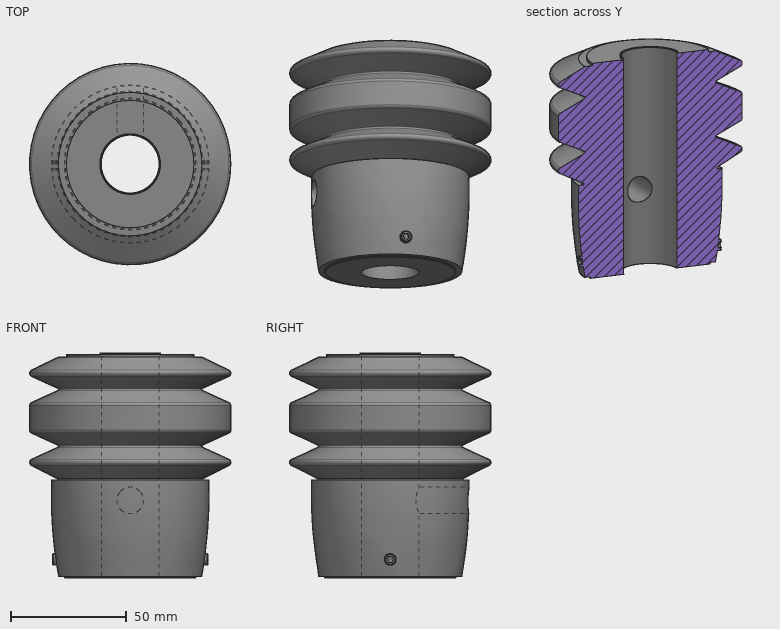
import cadquery as cq
import math

fin_radius = 43.5
total_height = 97.25
bore_radius = 12.5

rim_radius = 13.1
rim_height = 0.7
rim_chamfer = 0.3
disc_radius = 27.5
disc_height = 1.05
disc_top = total_height - rim_height
fins_top = disc_top - disc_height

fin_root_radius = 31.0
fin_height = 14.0
band_height = 10.5
fin_slope = math.radians(25)
fin_edge_round = 1.5
valley_round = 0.5

neck_height = 0.5
neck_radius = 31.5
body_top_radius = 34.0
body_middle_radius = 33.55
body_bottom_radius = 30.9
foot_radius = 28.5
foot_height = 0.7
foot_chamfer = 0.4

screw_radius = 2.5
screw_reach = 33.6
screw_height = 8.1
screw_seat = 25.0
screw_chamfer = 0.4
socket_across_flats = 2.5
socket_depth = 1.5

port_radius = 11.45 / 2
port_height = 33.6

fins_height = 3 * fin_height + band_height
fins_bottom = fins_top - fins_height
upper_valley = fins_top - fin_height
lower_valley = fins_bottom + fin_height
body_top = fins_bottom - neck_height


def revolve_profile(profile):
    """Turn a closed radius-height profile about the Z axis."""
    return profile.close().revolve(360, (0, 0, 0), (0, 1, 0))


def add_fin(profile, top, rim_band):
    """Continue the profile from the fin's top root down to the end of its lower cone.

    A thin fin has one round tangent to both cones; a fin with a straight band
    of height rim_band has a round at each end of the band.
    """
    middle = top - (fin_height + rim_band) / 2
    upper = middle + rim_band / 2
    lower = middle - rim_band / 2
    round_center = fin_radius - fin_edge_round
    tangent_radius = round_center + fin_edge_round * math.sin(fin_slope)
    tangent_drop = fin_edge_round * math.cos(fin_slope)
    lower_end = (tangent_radius, lower - tangent_drop)
    profile = profile.lineTo(tangent_radius, upper + tangent_drop)
    if rim_band == 0:
        return profile.threePointArc((fin_radius, middle), lower_end)
    mid_angle = (fin_slope + math.pi / 2) / 2
    mid_radius = round_center + fin_edge_round * math.sin(mid_angle)
    mid_drop = fin_edge_round * math.cos(mid_angle)
    profile = profile.threePointArc((mid_radius, upper + mid_drop), (fin_radius, upper))
    profile = profile.lineTo(fin_radius, lower)
    return profile.threePointArc((mid_radius, lower - mid_drop), lower_end)


def add_valley(profile, height):
    """Continue the profile through the rounded valley between two fins."""
    half_opening = valley_round * math.cos(fin_slope)
    edge_radius = fin_root_radius + valley_round * (1 - math.sin(fin_slope))
    profile = profile.lineTo(edge_radius, height + half_opening)
    return profile.threePointArc((fin_root_radius, height), (edge_radius, height - half_opening))


def make_insulator():
    """Turned outer shape: foot, barrel body, fins, disc and rim, still without the bore."""
    profile = cq.Workplane("XZ").moveTo(0, total_height)
    profile = profile.lineTo(rim_radius, total_height).lineTo(rim_radius, disc_top)
    profile = profile.lineTo(disc_radius, disc_top).lineTo(disc_radius, fins_top)
    profile = profile.lineTo(fin_root_radius, fins_top)
    profile = add_fin(profile, fins_top, 0)
    profile = add_valley(profile, upper_valley)
    profile = add_fin(profile, upper_valley, band_height)
    profile = add_valley(profile, lower_valley)
    profile = add_fin(profile, lower_valley, 0)
    profile = profile.lineTo(neck_radius, fins_bottom).lineTo(neck_radius, body_top)
    profile = profile.lineTo(body_top_radius, body_top)
    profile = profile.threePointArc(
        (body_middle_radius, (body_top + foot_height) / 2), (body_bottom_radius, foot_height)
    )
    profile = profile.lineTo(foot_radius, foot_height).lineTo(foot_radius, foot_chamfer)
    profile = profile.lineTo(foot_radius - foot_chamfer, 0).lineTo(0, 0)
    return revolve_profile(profile)


def make_bore():
    """Through bore with a chamfered mouth at the top."""
    profile = cq.Workplane("XZ").lineTo(bore_radius, 0)
    profile = profile.lineTo(bore_radius, total_height - rim_chamfer)
    profile = profile.lineTo(bore_radius + rim_chamfer, total_height).lineTo(0, total_height)
    return revolve_profile(profile)


def make_port():
    """Radial hole from the bore axis out through the +Y wall."""
    port = cq.Workplane("XZ").center(0, port_height).circle(port_radius)
    return port.extrude(-fin_radius)


def make_screw(side):
    """Set screw standing out of the body on the given side (-1 or +1 along X)."""
    seat = cq.Workplane("YZ", origin=(side * screw_seat, 0, screw_height))
    screw = seat.circle(screw_radius).extrude(side * (screw_reach - screw_seat))
    end = ">X" if side > 0 else "<X"
    screw = screw.faces(end).chamfer(screw_chamfer)
    socket_across_corners = socket_across_flats / math.cos(math.pi / 6)
    face = cq.Workplane("YZ", origin=(side * screw_reach, 0, screw_height))
    socket = face.polygon(6, socket_across_corners).extrude(-side * socket_depth)
    return screw.cut(socket)


result = make_insulator().cut(make_bore()).cut(make_port())
for side in (-1, 1):
    result = result.union(make_screw(side))